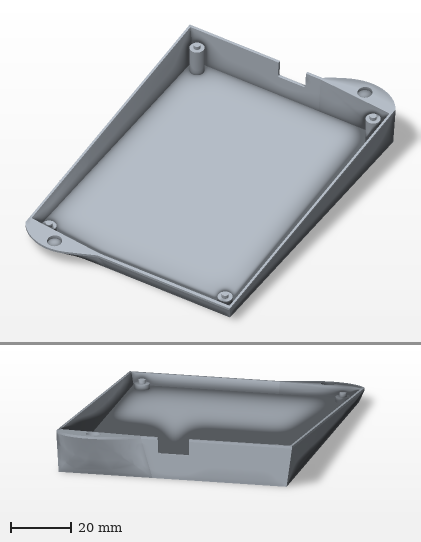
import cadquery as cq
import math

width = 80.8
length = 117.2
height = 15.0
rim_slope = math.tan(math.radians(5))
lip_height = 0.8
floor_thickness = 1.4

side_x = width / 2
rear_y = 52.8
front_y = -53.8
ear_corner_y = 52.0
ear_start_x = 11.2
ear_peak_x = 27.3
ear_inner_x, ear_inner_y = 16.6, 55.8
ear_outer_x, ear_outer_y = 36.5, 56.0

base_left, base_right = -38.3, 39.7
base_rear, base_front = 51.7, -52.5
base_ear_start_x = 7.6

wall = 0.8
rim_rear, rim_front = 51.9, -52.6
ear_ledge_y = 49.4

floor_left, floor_right = -37.7, 38.5
floor_rear, floor_front = 50.6, -51.3

ear_hole_diameter = 5.0
ear_hole_depth = 1.2
ear_hole_centers = [(ear_peak_x, 53.9), (-ear_peak_x, -54.8)]

post_diameter = 5.0
pin_diameter = 2.3
pin_height = 1.3
post_drop = 2.6
post_xs = (-34.1, 34.7)
post_ys = (-47.3, 47.1)

notch_left, notch_right = -5.2, 5.5
notch_bottom = 8.7
notch_corner_radius = 0.6


def rim_z(y):
    """Height of the sloping rim plane at a given Y."""
    return height - (length / 2 - y) * rim_slope


def point(x, y, z=None):
    """Point at a given height, or on the rim plane when no height is given."""
    return cq.Vector(x, y, rim_z(y) if z is None else z)


def polygon(points):
    return cq.Wire.makePolygon(points, close=True)


def outline_points(left, right, front, rear, front_split, rear_split, left_front, right_rear):
    """Six corners, anticlockwise from the left front; each end wall is split where its ear starts."""
    return [(left, left_front), (front_split, front), (right, front),
            (right, right_rear), (rear_split, rear), (left, rear)]


def outer_rim():
    """Rim outline with a curved ear at the right rear and at the left front."""
    corners = outline_points(-side_x, side_x, front_y, rear_y, -ear_start_x, ear_start_x,
                             -ear_corner_y, ear_corner_y)
    ear_middle = [(ear_outer_x, ear_outer_y), (ear_peak_x, length / 2), (ear_inner_x, ear_inner_y)]
    front_middle = [(-x, -y) for x, y in ear_middle]
    edges = []
    for index, start in enumerate(corners):
        end = corners[(index + 1) % len(corners)]
        middle = {0: front_middle, 3: ear_middle}.get(index)
        if middle:
            edges.append(cq.Edge.makeSpline([point(*p) for p in [start, *middle, end]]))
        else:
            edges.append(cq.Edge.makeLine(point(*start), point(*end)))
    return cq.Wire.assembleEdges(edges)


def make_shell():
    """Tapered outer body with an upright lip."""
    lip_base = outer_rim().translate(cq.Vector(0, 0, -lip_height))
    base = outline_points(base_left, base_right, base_front, base_rear,
                          -base_ear_start_x, base_ear_start_x, base_front, base_rear)
    body = cq.Solid.makeLoft([polygon([point(x, y, 0) for x, y in base]), lip_base], True)
    lip = cq.Solid.extrudeLinear(lip_base, [], cq.Vector(0, 0, lip_height))
    return cq.Workplane(body).union(cq.Workplane(lip))


def make_cavity():
    floor = outline_points(floor_left, floor_right, floor_front, floor_rear,
                           -ear_start_x, ear_start_x, floor_front, floor_rear)
    rim = outline_points(-side_x + wall, side_x - wall, rim_front, rim_rear,
                         -ear_start_x, ear_start_x, -ear_ledge_y, ear_ledge_y)
    floor_wire = polygon([point(x, y, floor_thickness) for x, y in floor])
    rim_wire = polygon([point(x, y) for x, y in rim])
    return cq.Workplane(cq.Solid.makeLoft([floor_wire, rim_wire], True))


def make_post(x, y):
    """Upright post and pin rising from the underside of the floor."""
    post_top = rim_z(y) - post_drop
    post = cq.Workplane().center(x, y).circle(post_diameter / 2).extrude(post_top)
    pin = cq.Workplane().center(x, y).circle(pin_diameter / 2).extrude(post_top + pin_height)
    return post.union(pin)


def make_notch():
    """Open-topped cutter that passes through the rear wall only."""
    notch_width = notch_right - notch_left
    cutter = cq.Workplane().box(notch_width, length / 2 - ear_ledge_y, height, centered=False)
    cutter = cutter.edges("|Y and <Z").fillet(notch_corner_radius)
    return cutter.translate((notch_left, ear_ledge_y, notch_bottom))


def make_ear_hole(x, y):
    """Blind hole sunk from the rim plane."""
    bottom = rim_z(y) - ear_hole_depth
    return cq.Workplane(origin=(x, y, bottom)).circle(ear_hole_diameter / 2).extrude(height)


result = make_shell().cut(make_cavity()).cut(make_notch())
for hole_x, hole_y in ear_hole_centers:
    result = result.cut(make_ear_hole(hole_x, hole_y))
for post_x in post_xs:
    for post_y in post_ys:
        result = result.union(make_post(post_x, post_y))